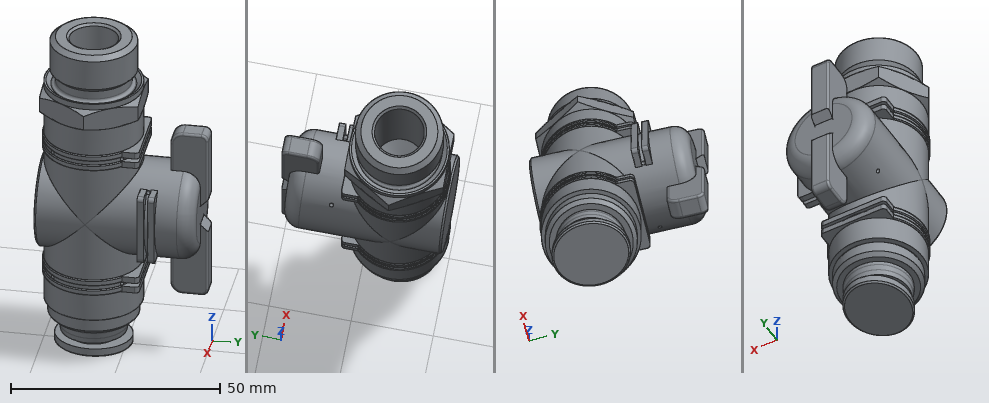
import cadquery as cq
import math

body_radius = 11.95
body_bottom_z = -26.2

top_z = 45.2
spigot_radius = 10.5
spigot_bottom_z = 36.5
spigot_tip_radius = 9.2
spigot_tip_chamfer = 1.1
neck_top_z = 35.3
collar_top_z = 33.3
collar_seat_radius = 11.45
collar_seat_cone_radius = 10.3
collar_seat_cone_depth = 0.9
collar_seat_floor_fillet = 0.8
hex_top_z = 31.8
hex_bottom_z = 26.25
hex_across_flats = 24.0
hex_corner_drop = 0.9

bore_radius = 5.9
bore_chamfer = 0.6
bore_bottom_z = 23.4
bore_point_depth = 3.4

cap_radius = 11.0
cap_top_chamfer = 0.4
cap_bottom_chamfer = 1.0
cap_bottom_z = -30.7
sleeve_top_radius = 8.5
sleeve_mid_radius = 8.3
sleeve_bottom_radius = 8.0
sleeve_mid_z = -31.8
sleeve_step_z = -33.3
sleeve_bottom_z = -34.7
release_neck_radius = 6.0
release_top_z = -36.1
overall_height = 83.6
release_bottom_z = top_z - overall_height
release_half_x = 8.3
release_half_y = 9.45
release_chamfer = 0.4

branch_front_y = -12.45
branch_front_chamfer = 0.5
branch_back_y = 26.3
branch_back_fillet = 4.1

clip_offset_z = 17.1
clip_offset_y = 14.9
clip_gap = 1.0
clip_thickness = 1.6
clip_ring_radius = 12.3
clip_half_width = 8.95
clip_reach = 12.5
clip_corner_radius = 1.0
clip_ring_chamfer = 0.25
dimple_radius = clip_gap / 2

handle_thickness = 4.9
handle_half_length = 22.0
handle_outer_y = 28.25
handle_inner_y = 19.1
handle_outer_corner = 1.7
handle_inner_corner = 3.0
handle_edge_fillet = 0.6
notch_half_width = 4.4


def run_profile():
    """Half section of everything that is round about Z."""
    cone_bottom_z = collar_top_z - collar_seat_cone_depth
    return (
        cq.Workplane("XZ")
        .moveTo(0, top_z)
        .lineTo(spigot_tip_radius, top_z)
        .lineTo(spigot_radius, top_z - spigot_tip_chamfer)
        .lineTo(spigot_radius, spigot_bottom_z)
        .lineTo(spigot_tip_radius, neck_top_z)
        .lineTo(spigot_tip_radius, cone_bottom_z + collar_seat_floor_fillet)
        .radiusArc((spigot_tip_radius + collar_seat_floor_fillet, cone_bottom_z), -collar_seat_floor_fillet)
        .lineTo(collar_seat_cone_radius, cone_bottom_z)
        .lineTo(collar_seat_radius, collar_top_z)
        .lineTo(body_radius, collar_top_z)
        .lineTo(body_radius, body_bottom_z)
        .lineTo(cap_radius - cap_top_chamfer, body_bottom_z)
        .lineTo(cap_radius, body_bottom_z - cap_top_chamfer)
        .lineTo(cap_radius, cap_bottom_z + cap_bottom_chamfer)
        .lineTo(cap_radius - cap_bottom_chamfer, cap_bottom_z)
        .lineTo(sleeve_top_radius, cap_bottom_z)
        .lineTo(sleeve_top_radius, sleeve_mid_z)
        .lineTo(sleeve_mid_radius, sleeve_step_z)
        .lineTo(sleeve_bottom_radius, sleeve_bottom_z)
        .lineTo(release_neck_radius, sleeve_bottom_z)
        .lineTo(release_neck_radius, release_top_z)
        .lineTo(0, release_top_z)
        .close()
    )


def make_run():
    return run_profile().revolve(360, (0, 0, 0), (0, 1, 0))


def make_hex():
    """Hexagon with corners on X, its corners bevelled above and below."""
    corner_radius = hex_across_flats / math.sqrt(3)
    prism = (
        cq.Workplane("XY", origin=(0, 0, hex_bottom_z))
        .polygon(6, 2 * corner_radius)
        .extrude(hex_top_z - hex_bottom_z)
    )
    bevel = (
        cq.Workplane("XZ")
        .moveTo(0, hex_bottom_z)
        .lineTo(body_radius, hex_bottom_z)
        .lineTo(corner_radius, hex_bottom_z + hex_corner_drop)
        .lineTo(corner_radius, hex_top_z - hex_corner_drop)
        .lineTo(body_radius, hex_top_z)
        .lineTo(0, hex_top_z)
        .close()
        .revolve(360, (0, 0, 0), (0, 1, 0))
    )
    return prism.intersect(bevel)


def make_release_flange():
    """Oval flange of the release collet, longer along Y."""
    return (
        cq.Workplane("XY", origin=(0, 0, release_bottom_z))
        .ellipse(release_half_x, release_half_y)
        .extrude(release_top_z - release_bottom_z)
        .faces("<Z")
        .edges()
        .chamfer(release_chamfer)
    )


def make_branch():
    branch = (
        cq.Workplane("XZ", origin=(0, branch_front_y, 0))
        .circle(body_radius)
        .extrude(branch_front_y - branch_back_y)
    )
    branch = branch.faces("<Y").edges().chamfer(branch_front_chamfer)
    return branch.faces(">Y").edges().fillet(branch_back_fillet)


def clip_levels(centre):
    """Lower faces of the two plates of a clip centred at the given height."""
    return (centre - clip_gap / 2 - clip_thickness, centre + clip_gap / 2)


def make_run_clip_plate(z):
    """Ring around the run with a square back towards +Y."""
    base = cq.Workplane("XY", origin=(0, 0, z))
    ring = base.circle(clip_ring_radius).extrude(clip_thickness)
    ring = ring.edges().chamfer(clip_ring_chamfer)
    back = (
        base.center(0, clip_reach / 2)
        .rect(2 * clip_half_width, clip_reach)
        .extrude(clip_thickness)
        .edges("|Z and >Y")
        .fillet(clip_corner_radius)
    )
    return ring.union(back)


def make_branch_clip_plate(y):
    """Square plate on the +X side of the branch."""
    return (
        cq.Workplane("XY")
        .box(clip_reach, clip_thickness, 2 * clip_half_width, centered=(False, False, True))
        .translate((0, y, 0))
        .edges("|Y and >X")
        .fillet(clip_corner_radius)
    )


def make_dimples(centre, axis):
    """Four conical dimples, midway between the X direction and its normal, around the given axis."""
    dimples = []
    for quarter in range(4):
        angle = math.radians(45 + 90 * quarter)
        across = math.cos(angle)
        along = math.sin(angle)
        direction = cq.Vector(across, along, 0) if axis == "Z" else cq.Vector(across, 0, along)
        point = cq.Vector(*centre) + direction * (body_radius - dimple_radius)
        cone = cq.Solid.makeCone(0, 2 * dimple_radius, 2 * dimple_radius, point, direction)
        dimples.append(cq.Workplane(cone))
    return dimples


def make_bore():
    return (
        cq.Workplane("XZ")
        .moveTo(0, top_z)
        .lineTo(bore_radius + bore_chamfer, top_z)
        .lineTo(bore_radius, top_z - bore_chamfer)
        .lineTo(bore_radius, bore_bottom_z)
        .lineTo(0, bore_bottom_z - bore_point_depth)
        .close()
        .revolve(360, (0, 0, 0), (0, 1, 0))
    )


def make_handle():
    """Flat bar across the branch end, with a V notch at the middle of its outer edge."""
    length = 2 * handle_half_length
    bar = (
        cq.Workplane("XY")
        .box(handle_thickness, handle_outer_y - handle_inner_y, length)
        .translate((0, (handle_outer_y + handle_inner_y) / 2, 0))
    )
    bar = bar.edges("|X and >Y").fillet(handle_outer_corner)
    bar = bar.edges("|X and <Y").fillet(handle_inner_corner)
    bar = bar.faces("<X or >X").edges().fillet(handle_edge_fillet)
    notch = (
        cq.Workplane("YZ")
        .moveTo(handle_outer_y, -notch_half_width)
        .lineTo(handle_outer_y - notch_half_width, 0)
        .lineTo(handle_outer_y, notch_half_width)
        .close()
        .extrude(handle_thickness / 2, both=True)
    )
    return bar.cut(notch)


def make_housing():
    housing = make_run().union(make_hex()).union(make_release_flange()).union(make_branch())
    for z in (-clip_offset_z, clip_offset_z):
        for dimple in make_dimples((0, 0, z), "Z"):
            housing = housing.cut(dimple)
    for dimple in make_dimples((0, clip_offset_y, 0), "Y"):
        housing = housing.cut(dimple)
    for centre in (-clip_offset_z, clip_offset_z):
        for z in clip_levels(centre):
            housing = housing.union(make_run_clip_plate(z))
    for y in clip_levels(clip_offset_y):
        housing = housing.union(make_branch_clip_plate(y))
    return housing.cut(make_bore())


handle = make_handle()
housing = make_housing().cut(handle)
result = cq.Compound.makeCompound([housing.solids().val(), handle.solids().val()])